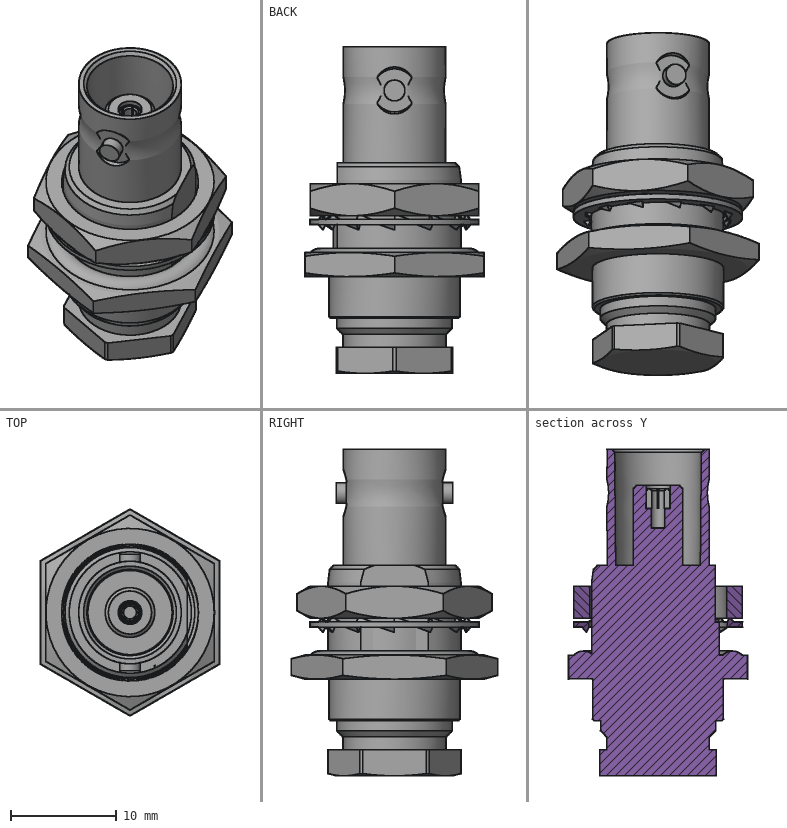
import cadquery as cq
import math


REAR_HEX_TOP = 2.48
COLLAR_TAPER_START = 3.7
BARREL_BOTTOM = 5.2
FLANGE_BOTTOM = 9.18
FLANGE_TOP = 11.47
THREAD_END = 18.35
THREAD_TAPER_END = 19.6
SHOULDER_TOP = 20.0
FRONT_FACE = 31.0

SOCKET_RADIUS = 4.87
NECK_RADIUS = 4.9
COLLAR_RADIUS = 5.5
BARREL_RADIUS = 6.23
BARREL_CHAMFER = 0.2
THREAD_RADIUS = 6.32
THREAD_TAPER_RADIUS = 6.17
SHOULDER_RADIUS = 5.77

REAR_HEX_FLATS = 11.1
REAR_HEX_CORNER_RADIUS = 6.32
FLANGE_FLATS = 17.0
SHALLOW_CHAMFER_ANGLE = 15.0
HEX_CHAMFER_INSET = 0.03
HEX_ENVELOPE_CLEARANCE = 0.3
HEX_CORNERS_ON_Y = 30.0

BEAD_SECTION_RADIUS = 1.25
BEAD_HEIGHT = 0.4

THREAD_FLAT_X = 5.45
CORE_RADIUS = 5.83

STUD_Z = 26.85
GROOVE_HALF_WIDTH = 1.27
GROOVE_RADIUS = 4.7
SPOT_FACE_RADIUS = 2.05
SPOT_RIM_RADIUS = 2.23
SPOT_FACE_Y = 4.55
STUD_RADIUS = 1.0
STUD_TIP_Y = 5.55

MOUTH_RADIUS = 4.4
MOUTH_CHAMFER = 0.3
BORE_FLOOR = SHOULDER_TOP
BORE_FLOOR_RADIUS = 4.0

BOSS_RADIUS = 2.35
BOSS_TOP = 27.6
BOSS_CHAMFER = 0.3
CONTACT_RADIUS = 1.12
CONTACT_RECESS = 0.35
CONTACT_CHAMFER = 0.15
CONTACT_HOLE_RADIUS = 0.62
CONTACT_COUNTERSINK = 0.2
CONTACT_HOLE_DEPTH = 3.72
CONTACT_SLOT_WIDTH = 0.15
CONTACT_SLOT_DEPTH = 1.85

NUT_BOTTOM = 14.95
NUT_TOP = 18.0
NUT_FLATS = 16.03
NUT_CHAMFER_ANGLE = 30.0
NUT_BORE_RADIUS = 6.48

WASHER_BOTTOM = 14.1
WASHER_TOP = 14.6
WASHER_OUTER_RADIUS = 8.03
WASHER_BORE_RADIUS = 6.55
TOOTH_COUNT = 12
TOOTH_OUTER_RADIUS = 7.22
TOOTH_TIP_RADIUS = 6.8
TOOTH_LENGTH = 1.45
TOOTH_HEIGHT = 0.5

CORE_TOP = WASHER_TOP


def cylinder(radius, bottom, top):
    """Cylinder on the Z axis between two heights."""
    return cq.Workplane("XY").workplane(offset=bottom).circle(radius).extrude(top - bottom)


def revolved(points):
    """Solid of revolution about Z from (radius, height) points."""
    return cq.Workplane("XZ").polyline(points).close().revolve(360, (0, 0, 0), (0, 1, 0))


def chamfered_hexagon(flats, bottom, top, angle, corner_radius=None, chamfer_top=True):
    """Hexagonal prism with corners on the Y axis, its ends turned to a cone of the given angle."""
    hexagon_radius = flats / math.sqrt(3)
    rim = corner_radius or hexagon_radius + HEX_ENVELOPE_CLEARANCE
    face_radius = flats / 2 - HEX_CHAMFER_INSET
    drop = (rim - face_radius) * math.tan(math.radians(angle))
    envelope = [(0, bottom), (face_radius, bottom), (rim, bottom + drop)]
    if chamfer_top:
        envelope += [(rim, top - drop), (face_radius, top), (0, top)]
    else:
        envelope += [(rim, top), (0, top)]
    prism = (
        cq.Workplane("XY")
        .workplane(offset=bottom)
        .polygon(6, 2 * hexagon_radius)
        .extrude(top - bottom)
        .rotate((0, 0, 0), (0, 0, 1), HEX_CORNERS_ON_Y)
    )
    return prism.intersect(revolved(envelope))


def make_rear_body():
    """Rear hexagon, neck, tapered collar, plain barrel and flange."""
    rear_hexagon = chamfered_hexagon(
        REAR_HEX_FLATS, 0, REAR_HEX_TOP, SHALLOW_CHAMFER_ANGLE, REAR_HEX_CORNER_RADIUS, chamfer_top=False
    )
    flange = chamfered_hexagon(FLANGE_FLATS, FLANGE_BOTTOM, FLANGE_TOP, SHALLOW_CHAMFER_ANGLE)
    collar_taper_end = COLLAR_TAPER_START + COLLAR_RADIUS - NECK_RADIUS
    barrel = revolved([
        (0, REAR_HEX_TOP),
        (NECK_RADIUS, REAR_HEX_TOP),
        (NECK_RADIUS, COLLAR_TAPER_START),
        (COLLAR_RADIUS, collar_taper_end),
        (COLLAR_RADIUS, BARREL_BOTTOM),
        (BARREL_RADIUS - BARREL_CHAMFER, BARREL_BOTTOM),
        (BARREL_RADIUS, BARREL_BOTTOM + BARREL_CHAMFER),
        (BARREL_RADIUS, FLANGE_BOTTOM),
        (0, FLANGE_BOTTOM),
    ])
    return rear_hexagon.union(barrel).union(flange)


def make_sealing_bead():
    """Exposed top of a round-section ring that surrounds the core and is sunk into the flange."""
    ring_radius = CORE_RADIUS + BEAD_SECTION_RADIUS
    ring_height = FLANGE_TOP + BEAD_HEIGHT - BEAD_SECTION_RADIUS
    half_chord = math.sqrt(BEAD_SECTION_RADIUS**2 - (FLANGE_TOP - ring_height) ** 2)
    return (
        cq.Workplane("XZ")
        .moveTo(ring_radius - half_chord, FLANGE_TOP)
        .threePointArc((ring_radius, FLANGE_TOP + BEAD_HEIGHT), (ring_radius + half_chord, FLANGE_TOP))
        .close()
        .revolve(360, (0, 0, 0), (0, 1, 0))
    )


def make_threaded_section():
    """Threaded length with a flat on +X; a round core bulges through the flat near the flange."""
    thread = revolved([
        (0, FLANGE_TOP),
        (THREAD_RADIUS, FLANGE_TOP),
        (THREAD_RADIUS, THREAD_END),
        (THREAD_TAPER_RADIUS, THREAD_TAPER_END),
        (SHOULDER_RADIUS, SHOULDER_TOP),
        (0, SHOULDER_TOP),
    ])
    beyond_flat = cq.Workplane("XY").box(
        THREAD_RADIUS, 2 * THREAD_RADIUS, SHOULDER_TOP, centered=(False, True, False)
    ).translate((THREAD_FLAT_X, 0, 0))
    return thread.cut(beyond_flat).union(cylinder(CORE_RADIUS, FLANGE_TOP, CORE_TOP))


def make_socket_shell():
    """Solid front cylinder with its shallow round groove, spot faces and two bayonet studs."""
    shell = (
        cq.Workplane("XZ")
        .moveTo(0, SHOULDER_TOP)
        .lineTo(SOCKET_RADIUS, SHOULDER_TOP)
        .lineTo(SOCKET_RADIUS, STUD_Z - GROOVE_HALF_WIDTH)
        .threePointArc((GROOVE_RADIUS, STUD_Z), (SOCKET_RADIUS, STUD_Z + GROOVE_HALF_WIDTH))
        .lineTo(SOCKET_RADIUS, FRONT_FACE)
        .lineTo(0, FRONT_FACE)
        .close()
        .revolve(360, (0, 0, 0), (0, 1, 0))
    )
    for side in (-1, 1):
        outward = cq.Vector(0, side, 0)
        stud_axis = cq.Vector(0, 0, STUD_Z)
        spot_face = cq.Solid.makeCone(
            SPOT_FACE_RADIUS,
            SPOT_RIM_RADIUS,
            SOCKET_RADIUS - SPOT_FACE_Y,
            stud_axis + outward * SPOT_FACE_Y,
            outward,
        )
        stud = cq.Solid.makeCylinder(
            STUD_RADIUS, STUD_TIP_Y - BORE_FLOOR_RADIUS, stud_axis + outward * BORE_FLOOR_RADIUS, outward
        )
        shell = shell.cut(spot_face).union(stud)
    return shell


def make_bore():
    """Socket cavity: mouth chamfer and a slightly tapered wall down to a flat floor."""
    return revolved([
        (0, BORE_FLOOR),
        (BORE_FLOOR_RADIUS, BORE_FLOOR),
        (MOUTH_RADIUS - MOUTH_CHAMFER, FRONT_FACE - MOUTH_CHAMFER),
        (MOUTH_RADIUS, FRONT_FACE),
        (0, FRONT_FACE),
    ])


def make_boss_and_contact():
    """Insulator boss with the slotted contact tube recessed in its end."""
    contact_top = BOSS_TOP - CONTACT_RECESS
    hole_bottom = contact_top - CONTACT_HOLE_DEPTH
    boss = revolved([
        (0, BORE_FLOOR),
        (BOSS_RADIUS, BORE_FLOOR),
        (BOSS_RADIUS, BOSS_TOP - BOSS_CHAMFER),
        (BOSS_RADIUS - BOSS_CHAMFER, BOSS_TOP),
        (CONTACT_RADIUS, BOSS_TOP),
        (CONTACT_RADIUS, contact_top - CONTACT_CHAMFER),
        (CONTACT_RADIUS - CONTACT_CHAMFER, contact_top),
        (CONTACT_HOLE_RADIUS + CONTACT_COUNTERSINK, contact_top),
        (CONTACT_HOLE_RADIUS, contact_top - CONTACT_COUNTERSINK),
        (CONTACT_HOLE_RADIUS, hole_bottom),
        (0, hole_bottom),
    ])
    slot = (
        cq.Workplane("XY")
        .workplane(offset=contact_top - CONTACT_SLOT_DEPTH)
        .rect(2 * CONTACT_RADIUS, CONTACT_SLOT_WIDTH)
        .extrude(CONTACT_SLOT_DEPTH)
        .intersect(cylinder(CONTACT_RADIUS, 0, FRONT_FACE))
    )
    for angle in (0, 90):
        boss = boss.cut(slot.rotate((0, 0, 0), (0, 0, 1), angle))
    return boss


def make_housing():
    """Jack housing with its insulator and contact as one solid."""
    front = make_socket_shell().cut(make_bore()).union(make_boss_and_contact())
    return make_rear_body().union(make_threaded_section()).union(make_sealing_bead()).union(front)


def make_nut():
    """Hex nut that clears the thread, chamfered at both ends."""
    hexagon = chamfered_hexagon(NUT_FLATS, NUT_BOTTOM, NUT_TOP, NUT_CHAMFER_ANGLE)
    return hexagon.cut(cylinder(NUT_BORE_RADIUS, NUT_BOTTOM, NUT_TOP))


def make_tooth(direction):
    """Pointed tooth at -Y; direction +1 rises toward the nut, -1 points down to the flange."""
    surface = WASHER_TOP if direction > 0 else WASHER_BOTTOM
    inner = cq.Vector(0, -WASHER_BORE_RADIUS, surface)
    outer = cq.Vector(0, -TOOTH_OUTER_RADIUS, surface)
    root = cq.Vector(direction * TOOTH_LENGTH, -TOOTH_TIP_RADIUS, surface)
    tip = cq.Vector(0, -TOOTH_TIP_RADIUS, surface + direction * TOOTH_HEIGHT)
    corners = [(inner, outer, root), (inner, outer, tip), (outer, root, tip), (root, inner, tip)]
    faces = [cq.Face.makeFromWires(cq.Wire.makePolygon([*corner, corner[0]])) for corner in corners]
    return cq.Workplane(obj=cq.Solid.makeSolid(cq.Shell.makeShell(faces)))


def make_lock_washer():
    """Flat ring with teeth bent up and down; the upper tips end at the nut."""
    washer = cylinder(WASHER_OUTER_RADIUS, WASHER_BOTTOM, WASHER_TOP)
    washer = washer.cut(cylinder(WASHER_BORE_RADIUS, WASHER_BOTTOM, WASHER_TOP))
    for index in range(TOOTH_COUNT):
        for direction in (-1, 1):
            tooth = make_tooth(direction).rotate((0, 0, 0), (0, 0, 1), index * 360 / TOOTH_COUNT)
            washer = washer.union(tooth)
    return washer.intersect(cylinder(WASHER_OUTER_RADIUS, 0, NUT_BOTTOM))


housing = make_housing()
nut = make_nut()
lock_washer = make_lock_washer()

result = cq.Compound.makeCompound([body.solids().val() for body in (housing, nut, lock_washer)])